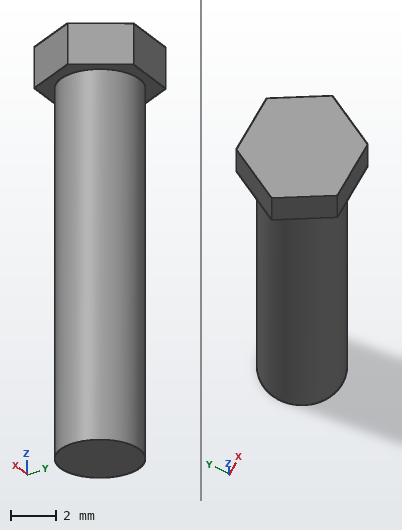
import cadquery as cq

total_length = 20.0
head_height = 2.0
head_across_corners = 5.8
head_turn = 0.73
shank_diameter = 4.0

shank_length = total_length - head_height

shank = cq.Workplane("XY").circle(shank_diameter / 2).extrude(shank_length)

head = (
    cq.Workplane("XY")
    .workplane(offset=shank_length)
    .polygon(6, head_across_corners)
    .extrude(head_height)
    .rotate((0, 0, 0), (0, 0, 1), head_turn)
)

result = shank.union(head)